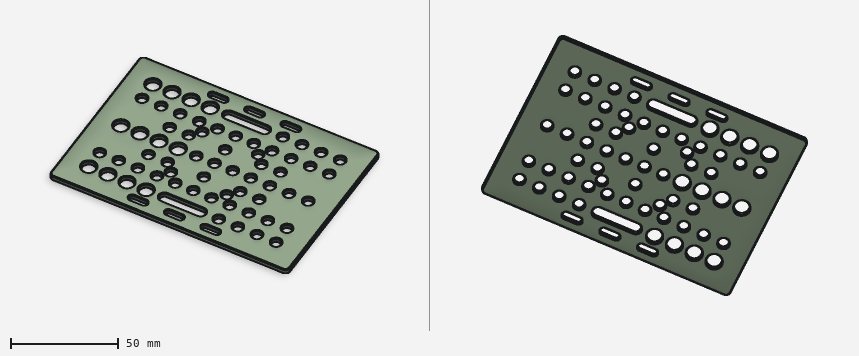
import cadquery as cq

length = 127.0
width = 88.0
thickness = 3.0
corner_radius = 2.4
edge_chamfer = 0.5
plate_centre = (0, 0, 0)

small_hole_diameter = 5.1
large_hole_diameter = 7.2
long_slot_length = 24.4
long_slot_width = small_hole_diameter
short_slot_length = 9.7
short_slot_width = 3.2

column_pitch = 10.2
outer_column_count = 4
inner_column = 19.3
half_column = inner_column / 2
outer_columns = [inner_column + column_pitch * i for i in range(outer_column_count)]
near_row = 10.0
middle_row = 2 * near_row
far_row = 30.4
short_slot_row = 38.0
diagonal_offset = 14.9


def mirrored(values):
    """Return the values together with their negatives."""
    return [sign * value for sign in (1, -1) for value in values]


def grid(columns, rows):
    """Return every point where the columns and rows cross."""
    return [(x, y) for x in columns for y in rows]


def round_holes(body, points, diameter):
    """Cut plain through holes at the points."""
    return body.faces(">Z").workplane(origin=plate_centre).pushPoints(points).hole(diameter)


def slots(body, points, slot_length, slot_width):
    """Cut round-ended through slots running along X."""
    plane = body.faces(">Z").workplane(origin=plate_centre)
    return plane.pushPoints(points).slot2D(slot_length, slot_width).cutThruAll()


small_points = grid(outer_columns, [0, far_row, -far_row])
small_points += grid([0] + mirrored([half_column] + outer_columns), mirrored([middle_row]))
small_points += grid([0] + mirrored(outer_columns[:2]), mirrored([near_row]))
small_points += grid([0] + mirrored([half_column]), [0])
small_points += grid(mirrored([diagonal_offset]), mirrored([diagonal_offset]))

large_points = grid([-x for x in outer_columns], [0, far_row, -far_row])

long_slot_points = grid([0], mirrored([far_row]))
short_slot_points = grid([0] + mirrored([inner_column]), mirrored([short_slot_row]))

plate = cq.Workplane("XY").box(length, width, thickness).edges("|Z").fillet(corner_radius)
plate = round_holes(plate, small_points, small_hole_diameter)
plate = round_holes(plate, large_points, large_hole_diameter)
plate = slots(plate, long_slot_points, long_slot_length, long_slot_width)
plate = slots(plate, short_slot_points, short_slot_length, short_slot_width)

result = plate.faces("|Z").edges().chamfer(edge_chamfer)